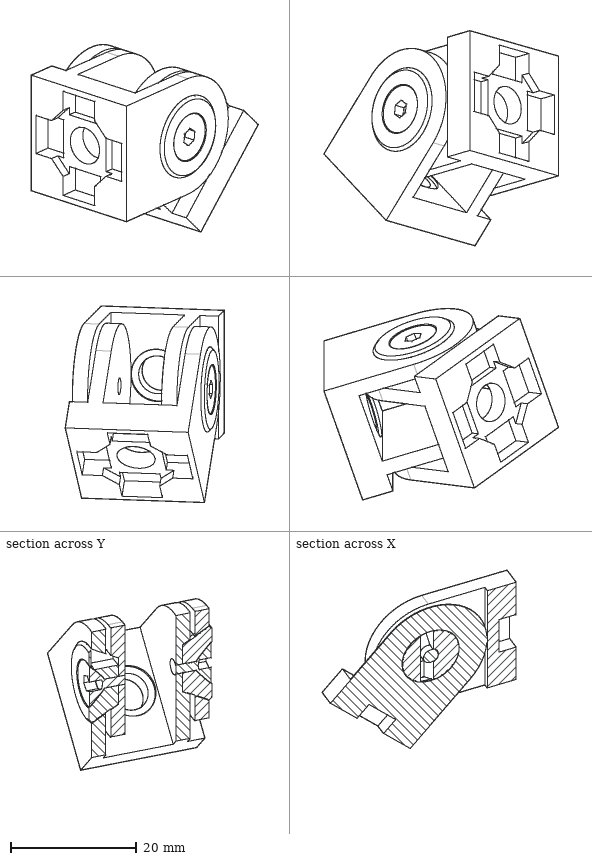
import cadquery as cq
import math

overall_length = 32.85
fold_angle = 45.0

bracket_width = 20.0
arm_radius = bracket_width / 2
arm_outer_face = 10.15
arm_thickness = 2.5
arm_gap = 0.8
arm_inner_face = arm_outer_face - arm_thickness
inner_arm_outer_face = arm_inner_face - arm_gap
inner_arm_inner_face = inner_arm_outer_face - arm_thickness
fold_sine = math.sin(math.radians(fold_angle))
base_distance = (overall_length - arm_radius * fold_sine) / (1 + fold_sine)
plate_inner_distance = arm_radius

socket_reach = 9.0
pocket_start = 4.47
pocket_width = 6.57
pocket_depth = 3.0
diamond_depth = 1.5
plate_hole_diameter = 6.15
counterbore_diameter = 8.48
counterbore_depth = 0.5

cap_height = 0.5
cap_face_radius = 6.35
taper_large_radius = 6.83
taper_half_angle = 28.5
seat_depth_in_inner_arm = 1.3
taper_end = inner_arm_outer_face - seat_depth_in_inner_arm
taper_length = arm_outer_face - taper_end
taper_small_radius = taper_large_radius - taper_length * math.tan(math.radians(taper_half_angle))
cap_face = arm_outer_face + cap_height
slot_width = 2.17
blind_slot_floor = 2.95
through_slot_offset = 0.65

countersink_radius = 4.0
head_recess = 0.13
head_radius = countersink_radius - head_recess
head_face = cap_face - head_recess
shank_radius = 1.3
head_height = head_radius - shank_radius
hex_across_corners = 2.9
hex_depth = 2.0
drill_tip_half_angle = 60.0
drill_tip_depth = hex_across_corners / 2 / math.tan(math.radians(drill_tip_half_angle))
hex_turn = 7.5


def turned(profile):
    """Solid of revolution about the X axis from (x, radius) points."""
    return cq.Workplane("XY").polyline(profile).close().revolve(360, (0, 0, 0), (1, 0, 0))


def on_side(body, side):
    """Place a body made for the +X end at the +X (side = 1) or -X (side = -1) end."""
    return body if side > 0 else body.rotate((0, 0, 0), (0, 0, 1), 180)


def taper_seat(side):
    """Space taken by a bushing taper between the outer face and its end in the inner arm."""
    seat = turned([
        (taper_end, 0),
        (taper_end, taper_small_radius),
        (arm_outer_face, taper_large_radius),
        (arm_outer_face, 0),
    ])
    return on_side(seat, side)


def arm(x_start):
    """Round-ended arm reaching from the hinge axis to the base plate at -Y."""
    round_end = cq.Workplane("YZ", origin=(x_start, 0, 0)).circle(arm_radius).extrude(arm_thickness)
    straight = cq.Workplane("XY").box(
        arm_thickness, base_distance, 2 * arm_radius, centered=(False, False, True)
    ).translate((x_start, -base_distance, 0))
    return round_end.union(straight)


def base_socket():
    """Tool for the diamond recess and four pockets in the base face."""
    base_face = cq.Workplane("XZ", origin=(arm_outer_face - arm_radius, -base_distance, 0))
    socket = base_face.polyline([
        (socket_reach, 0),
        (0, socket_reach),
        (-socket_reach, 0),
        (0, -socket_reach),
    ]).close().extrude(-diamond_depth)
    pocket_length = socket_reach - pocket_start
    pocket_center = (socket_reach + pocket_start) / 2
    for direction in (-1, 1):
        offset = direction * pocket_center
        socket = socket.union(
            base_face.center(offset, 0).rect(pocket_length, pocket_width).extrude(-pocket_depth)
        )
        socket = socket.union(
            base_face.center(0, offset).rect(pocket_width, pocket_length).extrude(-pocket_depth)
        )
    return socket


def make_bracket():
    """Bracket with its base toward -Y, outer arm at +X and inner arm at -X."""
    plate_center_x = arm_outer_face - arm_radius
    plate_thickness = base_distance - plate_inner_distance
    bracket = cq.Workplane("XY").box(
        bracket_width, plate_thickness, bracket_width, centered=(True, False, True)
    ).translate((plate_center_x, -base_distance, 0))
    bracket = bracket.union(arm(arm_inner_face)).union(arm(-inner_arm_outer_face))
    bracket = bracket.cut(base_socket())

    plate_inner_face = cq.Workplane("XZ", origin=(plate_center_x, -plate_inner_distance, 0))
    bracket = bracket.cut(plate_inner_face.circle(plate_hole_diameter / 2).extrude(plate_thickness))
    bracket = bracket.cut(plate_inner_face.circle(counterbore_diameter / 2).extrude(counterbore_depth))

    for side in (-1, 1):
        bracket = bracket.cut(taper_seat(side))
    shank_hole = cq.Workplane("YZ").circle(shank_radius).extrude(-inner_arm_outer_face)
    return bracket.cut(shank_hole)


def make_bushing(side, slot_offset, slot_floor):
    """Tapered, countersunk bushing with one upright slot along its taper, cut down to slot_floor."""
    bushing = turned([
        (taper_end, shank_radius),
        (taper_end, taper_small_radius),
        (arm_outer_face, taper_large_radius),
        (cap_face, cap_face_radius),
        (cap_face, countersink_radius),
        (head_face - head_height, shank_radius),
    ])
    slot = cq.Workplane("XY", origin=(taper_end, slot_offset, slot_floor)).box(
        taper_length, slot_width, taper_large_radius - slot_floor, centered=(False, True, False)
    )
    return on_side(bushing.cut(slot), side)


def make_screw(side):
    """Countersunk screw with a drilled hexagon socket, ending flush inside the inner arm."""
    screw = turned([
        (inner_arm_inner_face, 0),
        (inner_arm_inner_face, shank_radius),
        (head_face - head_height, shank_radius),
        (head_face, head_radius),
        (head_face, 0),
    ])
    hexagon = cq.Workplane("YZ", origin=(head_face, 0, 0)).polygon(6, hex_across_corners).extrude(-hex_depth)
    hexagon = hexagon.rotate((0, 0, 0), (1, 0, 0), 90 - hex_turn)
    hex_floor = head_face - hex_depth
    drill_tip = turned([
        (hex_floor, 0),
        (hex_floor, hex_across_corners / 2),
        (hex_floor - drill_tip_depth, 0),
    ])
    return on_side(screw.cut(hexagon).cut(drill_tip), side)


front_bracket = make_bracket()
rear_bracket = make_bracket().rotate((0, 0, 0), (0, 0, 1), 180).rotate((0, 0, 0), (1, 0, 0), -fold_angle)

bushings = [
    make_bushing(1, through_slot_offset, -taper_large_radius),
    make_bushing(-1, 0, blind_slot_floor),
]
screws = [make_screw(side) for side in (-1, 1)]

result = cq.Compound.makeCompound([
    front_bracket.val(),
    rear_bracket.val(),
    *[bushing.val() for bushing in bushings],
    *[screw.val() for screw in screws],
])